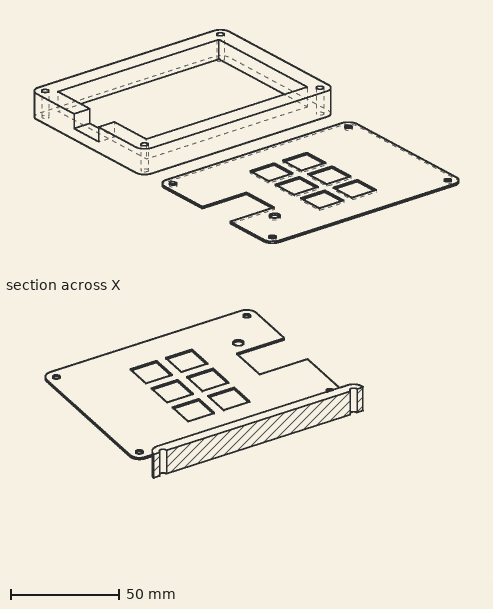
import cadquery as cq

overall_width = 181.3
width = 85.0
length = 112.6
corner_radius = 5.0
screw_hole_diameter = 3.5
screw_hole_inset = corner_radius

tray_height = 13.0
wall = 9.2
pocket_depth = 10.0
cable_notch_width = 18.5
cable_notch_depth = 7.5

plate_thickness = 1.0
plate_x = overall_width - width
key_size = 14.1
key_pitch = 19.0
key_columns = 3
key_rows = 2
keypad_center_x = 42.0
keypad_center_y = 58.2
port_left = 33.7
port_width = 20.9
port_length = 25.7
button_hole_diameter = 5.0
button_hole_x = 62.0
button_hole_y = 20.3


def box_at(x, y, z, size_x, size_y, size_z):
    """Box with its minimum corner at (x, y, z)."""
    return cq.Workplane("XY").box(size_x, size_y, size_z, centered=False).translate((x, y, z))


def rounded_panel(height):
    """Round-cornered slab with a screw hole through each corner."""
    slab = box_at(0, 0, 0, width, length, height).edges("|Z").fillet(corner_radius)
    hole_centers = [
        (x, y)
        for x in (screw_hole_inset, width - screw_hole_inset)
        for y in (screw_hole_inset, length - screw_hole_inset)
    ]
    holes = cq.Workplane("XY").pushPoints(hole_centers).circle(screw_hole_diameter / 2).extrude(height)
    return slab.cut(holes)


def make_tray():
    """Open tray with a cable notch through the middle of its front wall."""
    pocket = box_at(
        wall, wall, tray_height - pocket_depth,
        width - 2 * wall, length - 2 * wall, pocket_depth,
    )
    cable_notch = box_at(
        (width - cable_notch_width) / 2, 0, tray_height - cable_notch_depth,
        cable_notch_width, wall, cable_notch_depth,
    )
    return rounded_panel(tray_height).cut(pocket).cut(cable_notch)


def make_cover_plate():
    """Thin plate with a grid of key windows, a port cutout and a button hole."""
    keys = (
        cq.Workplane("XY")
        .center(keypad_center_x, keypad_center_y)
        .rarray(key_pitch, key_pitch, key_columns, key_rows)
        .rect(key_size, key_size)
        .extrude(plate_thickness)
    )
    port = box_at(port_left, 0, 0, port_width, port_length, plate_thickness)
    button_hole = (
        cq.Workplane("XY")
        .center(button_hole_x, button_hole_y)
        .circle(button_hole_diameter / 2)
        .extrude(plate_thickness)
    )
    plate = rounded_panel(plate_thickness).cut(keys).cut(port).cut(button_hole)
    return plate.translate((plate_x, 0, 0))


tray = make_tray()
cover_plate = make_cover_plate()
result = cq.Compound.makeCompound([tray.solids().val(), cover_plate.solids().val()])